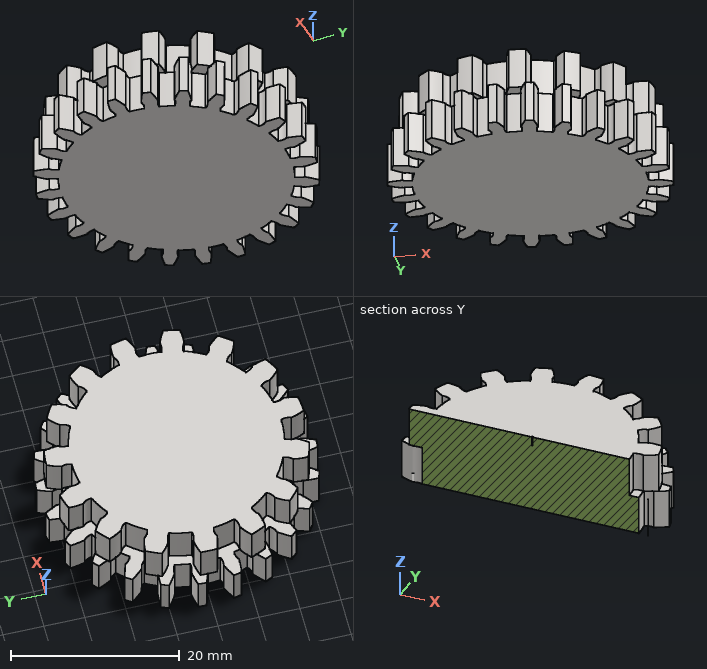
import cadquery as cq
import math

total_height = 10.0
gear_thickness = total_height / 2
overall_width = 33.85

lower_teeth = 24
lower_pitch_angle = 360 / lower_teeth
lower_first_angle = -lower_pitch_angle / 4
lower_root_radius = 14.0
lower_tip_half_width = 0.5
lower_root_half_width = 0.9
lower_neck = (14.5, 0.85)
lower_bulge = (15.15, 1.0)
lower_flank = (16.07, 0.78)

upper_teeth = 15
upper_first_angle = 180
upper_root_radius = 12.8
upper_tip_radius = 15.75
upper_tip_half_width = 1.0
upper_root_half_width = 1.32
upper_neck = (13.23, 1.25)
upper_bulge = (13.95, 1.45)
upper_flank = (14.85, 1.3)


def tip_radius_for_width(width, tip_half_width, tooth_angle):
    """Tip radius whose tooth corner nearest the X axis reaches half the given width."""
    reach = width / 2
    corner_angle = abs(math.radians(tooth_angle)) - math.asin(tip_half_width / reach)
    return reach / math.cos(corner_angle)


def on_circle(radius, half_width):
    """Point on a circle about the gear axis at a given half width from the tooth centre line."""
    return (math.sqrt(radius**2 - half_width**2), half_width)


def rotated(point, angle):
    """Point turned about the gear axis by an angle in degrees."""
    x, y = point
    turn = math.radians(angle)
    return (
        x * math.cos(turn) - y * math.sin(turn),
        x * math.sin(turn) + y * math.cos(turn),
    )


def mirrored(point):
    """Point reflected across the tooth centre line."""
    return (point[0], -point[1])


def gear(teeth, first_angle, root_radius, root_half_width, neck, bulge, flank, tip_radius, tip_half_width):
    """Solid gear with a waisted tooth: concave neck, widest bulge, then a convex flank to the tip."""
    pitch_angle = 360 / teeth
    root = on_circle(root_radius, root_half_width)
    tip = on_circle(tip_radius, tip_half_width)
    outline = cq.Workplane("XY").moveTo(*rotated(mirrored(root), first_angle))

    for tooth in range(teeth):
        angle = first_angle + tooth * pitch_angle

        def arc_to(middle, end):
            return outline.threePointArc(rotated(middle, angle), rotated(end, angle))

        outline = arc_to(mirrored(neck), mirrored(bulge))
        outline = arc_to(mirrored(flank), mirrored(tip))
        outline = arc_to((tip_radius, 0), tip)
        outline = arc_to(flank, bulge)
        outline = arc_to(neck, root)
        gap_middle = rotated((root_radius, 0), pitch_angle / 2)
        next_root = rotated(mirrored(root), pitch_angle)
        outline = arc_to(gap_middle, next_root)

    return outline.close().extrude(gear_thickness)


lower_tip_radius = tip_radius_for_width(overall_width, lower_tip_half_width, lower_first_angle)
lower_gear = gear(
    lower_teeth,
    lower_first_angle,
    lower_root_radius,
    lower_root_half_width,
    lower_neck,
    lower_bulge,
    lower_flank,
    lower_tip_radius,
    lower_tip_half_width,
)
upper_gear = gear(
    upper_teeth,
    upper_first_angle,
    upper_root_radius,
    upper_root_half_width,
    upper_neck,
    upper_bulge,
    upper_flank,
    upper_tip_radius,
    upper_tip_half_width,
).translate((0, 0, gear_thickness))

result = lower_gear.union(upper_gear)